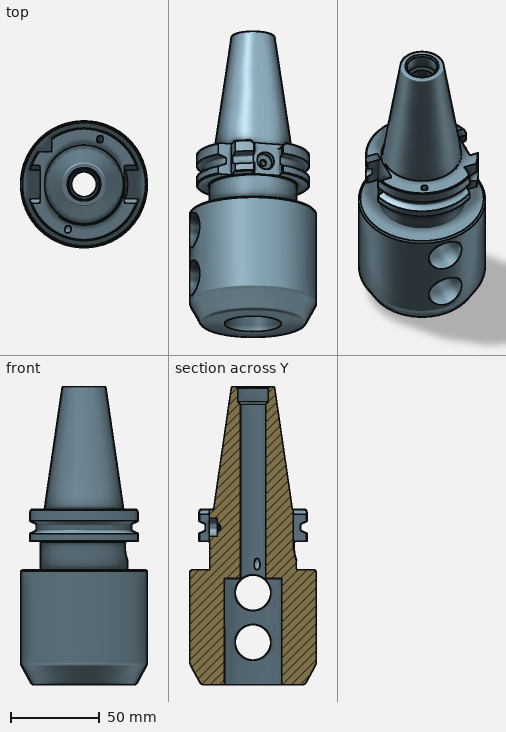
import cadquery as cq
import math


SELECTION_MARGIN = 0.01

TAPER_TOP = 68.25
FLANGE_TOP = -1.0
GROOVE_CENTRE = -11.1
FLANGE_BOTTOM = -19.1
BODY_TOP = -35.0
BODY_BOTTOM = -100.0

GAUGE_DIAMETER = 44.45
TAPER_RATIO = 7 / 24
TAPER_TOP_FILLET = 0.8
TAPER_ROOT_FILLET = 0.8

FLANGE_DIAMETER = 63.55
FLANGE_EDGE_CHAMFER = 0.5
GROOVE_DIAMETER = 56.25
GROOVE_FLOOR_WIDTH = 3.6
GROOVE_FLOOR_FILLET = 0.6
GROOVE_SIDE_ANGLE = 26.0

NECK_DIAMETER = 49.25
NECK_FILLET = 0.5
BODY_DIAMETER = 71.5
BODY_TOP_CHAMFER = 1.0
NOSE_HEIGHT = 11.7
NOSE_ANGLE = 28.5
NOSE_SHOULDER_FILLET = 3.0
NOSE_END_FILLET = 2.5

DRAWBAR_CLEARANCE_DIAMETER = 17.0
DRAWBAR_CLEARANCE_DEPTH = 8.5
DRAWBAR_MOUTH_CHAMFER = 0.9
CORE_DIAMETER = 14.0
SHANK_DIAMETER = 32.0
SHANK_DEPTH = 60.0

SLOT_FLOORS = {-1: 24.8, 1: 22.8}
SLOT_WIDTH = 16.1
SLOT_CORNER_FILLET = 0.8
SLOT_TOP_CHAMFER = 2.6
SLOT_EDGE_CHAMFER = 0.8
SLOT_RUNOUT_RADIUS = 32.0
SLOT_RUNOUT_END = 26.0

NOTCH_EDGE = 18.3

COOLANT_DIAMETER = 3.5
COOLANT_RADIUS = 27.0
COOLANT_LEAN = 33.0
COOLANT_ANGLES = (70.5, 250.5)

CLAMP_DIAMETER = 20.0
CLAMP_HEIGHTS = (-48.0, -76.0)

CHIP_HOLE_DIAMETER = 10.0
CHIP_HOLE_DEPTH = 4.6
PILOT_DIAMETER = 3.5
PILOT_DEPTH = 1.0
PILOT_TIP_ANGLE = 30.0


def tangent(degrees):
    return math.tan(math.radians(degrees))


def cylinder(diameter, bottom, top):
    return cq.Workplane("XY", origin=(0, 0, bottom)).circle(diameter / 2).extrude(top - bottom)


def circle_at(diameter, z):
    """Selects the circular edge of this diameter at height z."""
    reach = diameter / 2 + SELECTION_MARGIN
    return cq.selectors.BoxSelector(
        (-reach, -reach, z - SELECTION_MARGIN), (reach, reach, z + SELECTION_MARGIN), boundingbox=True
    )


def turned_shape():
    """Outside of the holder as one turned solid, before the milling."""
    cone = cq.Solid.makeCone(GAUGE_DIAMETER / 2, (GAUGE_DIAMETER - TAPER_RATIO * TAPER_TOP) / 2, TAPER_TOP)
    taper = cq.Workplane("XY").add(cone).faces(">Z").edges().fillet(TAPER_TOP_FILLET)
    root = cylinder(GAUGE_DIAMETER, FLANGE_TOP, 0)
    flange = cylinder(FLANGE_DIAMETER, FLANGE_BOTTOM, FLANGE_TOP).edges().chamfer(FLANGE_EDGE_CHAMFER)
    flange = flange.cut(gripper_groove())
    for z in (GROOVE_CENTRE - GROOVE_FLOOR_WIDTH / 2, GROOVE_CENTRE + GROOVE_FLOOR_WIDTH / 2):
        flange = flange.edges(circle_at(GROOVE_DIAMETER, z)).fillet(GROOVE_FLOOR_FILLET)
    neck = cylinder(NECK_DIAMETER, BODY_TOP, FLANGE_BOTTOM)
    shape = taper.union(root).union(flange).union(neck).union(clamping_body())
    shape = shape.edges(circle_at(GAUGE_DIAMETER, FLANGE_TOP)).fillet(TAPER_ROOT_FILLET)
    for z in (FLANGE_BOTTOM, BODY_TOP):
        shape = shape.edges(circle_at(NECK_DIAMETER, z)).fillet(NECK_FILLET)
    return shape


def gripper_groove():
    floor = GROOVE_DIAMETER / 2
    rim = FLANGE_DIAMETER / 2
    half_floor = GROOVE_FLOOR_WIDTH / 2
    half_mouth = half_floor + (rim - floor) * tangent(GROOVE_SIDE_ANGLE)
    return (
        cq.Workplane("XZ")
        .polyline(
            [
                (floor, GROOVE_CENTRE - half_floor),
                (rim, GROOVE_CENTRE - half_mouth),
                (rim, GROOVE_CENTRE + half_mouth),
                (floor, GROOVE_CENTRE + half_floor),
            ]
        )
        .close()
        .revolve(360, (0, 0), (0, 1))
    )


def clamping_body():
    radius = BODY_DIAMETER / 2
    shoulder = BODY_BOTTOM + NOSE_HEIGHT
    end_radius = radius - NOSE_HEIGHT * tangent(NOSE_ANGLE)
    body = (
        cq.Workplane("XZ")
        .polyline(
            [
                (0, BODY_BOTTOM),
                (end_radius, BODY_BOTTOM),
                (radius, shoulder),
                (radius, BODY_TOP),
                (0, BODY_TOP),
            ]
        )
        .close()
        .revolve(360, (0, 0), (0, 1))
    )
    body = body.faces(">Z").chamfer(BODY_TOP_CHAMFER)
    body = body.faces("<Z").edges().fillet(NOSE_END_FILLET)
    return body.edges(circle_at(BODY_DIAMETER, shoulder)).fillet(NOSE_SHOULDER_FILLET)


def axial_bores():
    core = cylinder(CORE_DIAMETER, BODY_BOTTOM, TAPER_TOP)
    shank = cylinder(SHANK_DIAMETER, BODY_BOTTOM, BODY_BOTTOM + SHANK_DEPTH)
    mouth = DRAWBAR_CLEARANCE_DIAMETER / 2
    step = TAPER_TOP - DRAWBAR_CLEARANCE_DEPTH
    clearance = (
        cq.Workplane("XZ")
        .polyline(
            [
                (0, TAPER_TOP),
                (mouth + DRAWBAR_MOUTH_CHAMFER, TAPER_TOP),
                (mouth, TAPER_TOP - DRAWBAR_MOUTH_CHAMFER),
                (mouth, step),
                (CORE_DIAMETER / 2, step - (mouth - CORE_DIAMETER / 2)),
                (0, step - (mouth - CORE_DIAMETER / 2)),
            ]
        )
        .close()
        .revolve(360, (0, 0), (0, 1))
    )
    return core.union(shank).union(clearance)


def drive_slot(side):
    """Slot through the flange rim; below the flange its floor curves outwards."""
    floor = SLOT_FLOORS[side]
    half_width = SLOT_WIDTH / 2
    rim = FLANGE_DIAMETER / 2

    def runout_depth(x):
        return math.sqrt(SLOT_RUNOUT_RADIUS**2 - (SLOT_RUNOUT_RADIUS - x + floor) ** 2)

    runout_middle = (floor + SLOT_RUNOUT_END) / 2
    channel = (
        cq.Workplane("XZ", origin=(0, half_width, 0))
        .moveTo(side * floor, FLANGE_TOP)
        .lineTo(side * floor, FLANGE_BOTTOM)
        .threePointArc(
            (side * runout_middle, FLANGE_BOTTOM - runout_depth(runout_middle)),
            (side * SLOT_RUNOUT_END, FLANGE_BOTTOM - runout_depth(SLOT_RUNOUT_END)),
        )
        .lineTo(side * rim, FLANGE_BOTTOM - runout_depth(SLOT_RUNOUT_END))
        .lineTo(side * rim, FLANGE_TOP)
        .close()
        .extrude(SLOT_WIDTH)
    )
    top_bevel = (
        cq.Workplane("YZ", origin=(side * floor, 0, 0))
        .polyline(
            [
                (-half_width, FLANGE_TOP - SLOT_TOP_CHAMFER),
                (half_width, FLANGE_TOP - SLOT_TOP_CHAMFER),
                (half_width + SLOT_TOP_CHAMFER, FLANGE_TOP),
                (-half_width - SLOT_TOP_CHAMFER, FLANGE_TOP),
            ]
        )
        .close()
        .extrude(side * rim)
    )
    floor_corners = cq.selectors.BoxSelector(
        (side * floor - SELECTION_MARGIN, -rim, FLANGE_BOTTOM - SELECTION_MARGIN),
        (side * floor + SELECTION_MARGIN, rim, FLANGE_TOP + SELECTION_MARGIN),
        boundingbox=True,
    )
    slot = channel.union(top_bevel)
    slot = slot.edges(floor_corners).edges("not |Y").fillet(SLOT_CORNER_FILLET)
    corner = math.sqrt(rim**2 - half_width**2)
    edge_bevel = (
        cq.Workplane("XY", origin=(0, 0, FLANGE_BOTTOM))
        .polyline(
            [
                (side * (corner - SLOT_EDGE_CHAMFER), -half_width),
                (side * (corner + SLOT_EDGE_CHAMFER), -half_width - 2 * SLOT_EDGE_CHAMFER),
                (side * (corner + SLOT_EDGE_CHAMFER), half_width + 2 * SLOT_EDGE_CHAMFER),
                (side * (corner - SLOT_EDGE_CHAMFER), half_width),
            ]
        )
        .close()
        .extrude(FLANGE_TOP - FLANGE_BOTTOM)
    )
    return slot.union(edge_bevel)


def orientation_notch():
    size = FLANGE_DIAMETER / 2
    block = cq.Workplane("XY").box(size, size, FLANGE_TOP - FLANGE_BOTTOM, centered=False)
    return block.translate((-NOTCH_EDGE - size, NOTCH_EDGE, FLANGE_BOTTOM))


def coolant_bore(angle):
    inward = COOLANT_RADIUS - CORE_DIAMETER / 2
    drop = inward / tangent(COOLANT_LEAN)
    direction = cq.Vector(-inward, 0, -drop)
    entry = cq.Vector(COOLANT_RADIUS, 0, FLANGE_TOP)
    overrun = direction.normalized() * COOLANT_DIAMETER
    bore = cq.Solid.makeCylinder(
        COOLANT_DIAMETER / 2, direction.Length + 2 * COOLANT_DIAMETER, entry - overrun, direction
    )
    return cq.Workplane("XY").add(bore).rotate((0, 0, 0), (0, 0, 1), angle)


def clamp_hole(z):
    return cq.Workplane("XZ", origin=(0, 0, z)).circle(CLAMP_DIAMETER / 2).extrude(-BODY_DIAMETER)


def chip_hole():
    """Flat-bottomed hole from the -X side, with a cone-tipped pilot hole in its floor."""
    hole_floor = CHIP_HOLE_DEPTH - SLOT_FLOORS[-1]
    inward = cq.Vector(1, 0, 0)
    hole = cq.Solid.makeCylinder(
        CHIP_HOLE_DIAMETER / 2,
        hole_floor + FLANGE_DIAMETER / 2,
        cq.Vector(-FLANGE_DIAMETER / 2, 0, GROOVE_CENTRE),
        inward,
    )
    pilot = cq.Solid.makeCylinder(
        PILOT_DIAMETER / 2, PILOT_DEPTH, cq.Vector(hole_floor, 0, GROOVE_CENTRE), inward
    )
    tip = cq.Solid.makeCone(
        PILOT_DIAMETER / 2,
        0,
        PILOT_DIAMETER / 2 * tangent(PILOT_TIP_ANGLE),
        cq.Vector(hole_floor + PILOT_DEPTH, 0, GROOVE_CENTRE),
        inward,
    )
    return cq.Workplane("XY").add(hole).union(cq.Workplane("XY").add(pilot)).union(cq.Workplane("XY").add(tip))


holder = turned_shape().cut(axial_bores()).cut(orientation_notch())
for side in SLOT_FLOORS:
    holder = holder.cut(drive_slot(side))
holder = holder.cut(chip_hole())
for angle in COOLANT_ANGLES:
    holder = holder.cut(coolant_bore(angle))
for height in CLAMP_HEIGHTS:
    holder = holder.cut(clamp_hole(height))

result = cq.Compound.makeCompound([holder.val()])